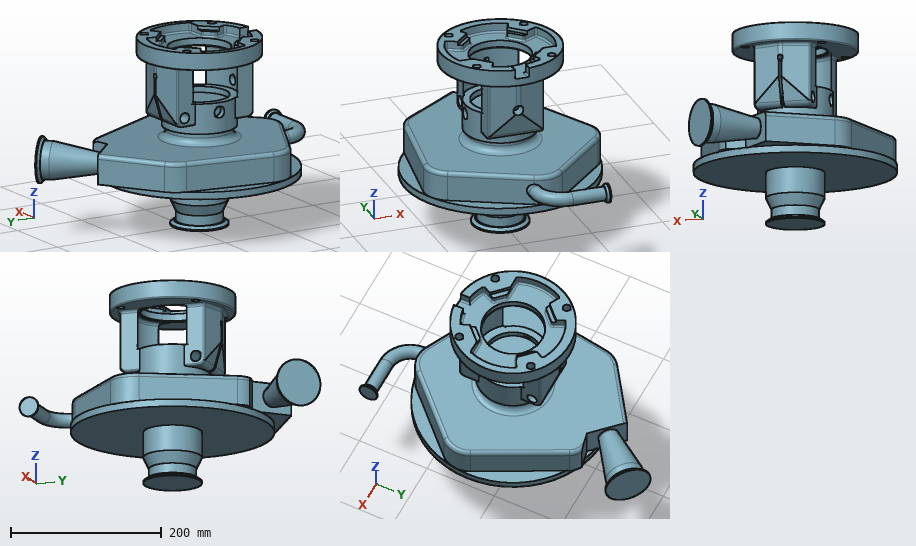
import cadquery as cq
import math


DISC_RADIUS = 270.0 / 2
DISC_HEIGHT = 10.0
CASE_TOP = 50.5
CASE_CIRCUMRADIUS = 143.5
CASE_CORNER_ANGLES = (135, 207, 279, 351)
CASE_SHOULDER = (62.5, 132.8)
CASE_CORNER_ROUND = 37.0
SHOULDER_ROUND = 26.7
CASE_TOP_ROUND = 5.8

OUTLET_CORNER = (-9.5, 165.0)
CASE_NOOK = (31.0, 125.0)
NOOK_SLOPE_ANGLE = 12.4
CASE_OVERRUN = 20.5
BLANK_SIDE_X = 40.5
TRIM_RUN = 61.5

NECK_RADIUS = 45.2
NECK_FILLET = 10.0
RING_BOTTOM = 66.5
RING_TOP = 108.0
RING_RADIUS = 50.0
RING_RECESS_RADIUS = 80.0 / 2
RING_RECESS_DEPTH = 8.2
RING_HOLE_DIAMETER = 15.5
RING_HOLE_Z = 95.0
RING_HOLE_DEPTH = RING_RADIUS - RING_RECESS_RADIUS

FLANGE_RADIUS = 83.5
FLANGE_BOTTOM = 162.8
FLANGE_TOP = 186.5
FLANGE_EDGE_ROUND = 2.0
FLANGE_BORE_RADIUS = 85.0 / 2
FLANGE_BORE_CHAMFER = 1.5
BOLT_SPACING = 106.0
BOLT_HOLE_DIAMETER = 10.5

POCKET_DEPTH = 12.7
POCKET_FLOOR = FLANGE_TOP - POCKET_DEPTH
POCKET_SIDE_RADIUS = 74.0
POCKET_END_RADIUS = 70.0
POCKET_END_WIDTH = 78.0
POCKET_CORNER_ROUND = 3.0
POCKET_FLOOR_ROUND = 2.5
REAR_LUG = [(43.5, 26.7), (77.5, 44.5), (82.0, 82.0), (42.5, 77.0), (26.0, 44.0)]
FRONT_LUG = [(40.0, -28.8), (82.0, -28.8), (82.0, -82.0), (42.5, -77.0), (26.0, -42.7)]
LUG_LEDGE_DISTANCE = 55.5
LUG_LEDGE_DEPTH = 5.0
LEDGE_REACH = 58.5
NOTCH_WIDTH = 19.7

LEG_HALF_WIDTH = 39.0
LEG_BOTTOM = 78.5
LEG_INNER_RADIUS = 52.0
LEG_RIDGE_Y = 70.3
LEG_EDGE_Y = 59.5
LEG_RIDGE_ROUND = 12.5
LEG_SLOPE_TOP = 118.8
LEG_FOOT_Y = 58.5
LEG_FOOT_ROUND = 9.0
LEG_SIDE_ROUND = 2.5
LEG_ROOT_FILLET = 4.0
LEG_OVERLAP = 4.0

ACCESS_HOLE_DIAMETER = 14.0
ACCESS_HOLE_Z = 120.5
CLAMP_HOLE_DIAMETER = 14.5
CLAMP_HOLE_Y = 47.5
CLAMP_HOLE_Z = 91.0
CLAMP_SLIT_WIDTH = 3.5
SLIT_END_DIAMETER = 7.0
SLIT_END_Z = 142.5

SUCTION_RADIUS = 39.0
SUCTION_SHOULDER_Z = -34.5
SUCTION_NECK_RADIUS = 31.5
SUCTION_NECK_Z = -50.0
SUCTION_END_Z = -69.5
SUCTION_RIM_RADIUS = 39.0

OUTLET_ANGLE = 45
OUTLET_END = (69.5, 205.5)
OUTLET_Z = 32.0
OUTLET_END_RADIUS = 26.0
OUTLET_STRAIGHT = 17.3
OUTLET_START_RADIUS = 14.0
OUTLET_CONE_END = 82.5
OUTLET_ROOT = 12.5
OUTLET_RIM_RADIUS = 63.0 / 2

DRAIN_RADIUS = 9.5
DRAIN_Z = 29.5
DRAIN_ROOT_Y = -102.8
DRAIN_BEND_START_Y = -134.5
DRAIN_BEND_RADIUS = 35.8
DRAIN_END_X = 88.8
DRAIN_RIM_RADIUS = 13.0

RIM_EDGE = 2.0
RIM_TAPER = 3.5
RIM_STEP = 0.3

ARC_RISE = 1 - math.sqrt(0.5)


def polar(radius, angle):
    return (radius * math.cos(math.radians(angle)), radius * math.sin(math.radians(angle)))


def slab(outline, bottom, top):
    return cq.Workplane("XY").workplane(offset=bottom).polyline(outline).close().extrude(top - bottom)


def cylinder(radius, bottom, top):
    return cq.Workplane("XY").workplane(offset=bottom).circle(radius).extrude(top - bottom)


def turned(profile):
    """Revolve a closed (radius, Z) profile about Z."""
    return cq.Workplane("XZ").polyline(profile).close().revolve(360, (0, 0, 0), (0, 1, 0))


def round_corner(solid, corner, radius):
    """Fillet the vertical edge standing on the plan point `corner`."""
    nearest = cq.selectors.NearestToPointSelector((*corner, CASE_TOP / 2))
    return solid.edges("|Z").edges(nearest).fillet(radius)


def make_case():
    corners = [polar(CASE_CIRCUMRADIUS, angle) for angle in CASE_CORNER_ANGLES]

    start_x, start_y = corners[0]
    slope = (OUTLET_CORNER[1] - start_y) / (OUTLET_CORNER[0] - start_x)
    tip = (OUTLET_CORNER[0] + CASE_OVERRUN, OUTLET_CORNER[1] + slope * CASE_OVERRUN)
    outline = [*corners, CASE_SHOULDER,
               (BLANK_SIDE_X, CASE_SHOULDER[1]), (BLANK_SIDE_X, tip[1]), tip]
    case = slab(outline, DISC_HEIGHT, CASE_TOP)
    for corner in corners:
        case = round_corner(case, corner, CASE_CORNER_ROUND)
    case = round_corner(case, CASE_SHOULDER, SHOULDER_ROUND)
    case = case.faces(">Z").edges().fillet(CASE_TOP_ROUND)

    nook_rise = TRIM_RUN * math.tan(math.radians(NOOK_SLOPE_ANGLE))
    trim = [
        CASE_NOOK,
        (CASE_NOOK[0] + TRIM_RUN, CASE_NOOK[1] + nook_rise),
        (CASE_NOOK[0] + TRIM_RUN, CASE_NOOK[1] + TRIM_RUN),
        (CASE_NOOK[0] - TRIM_RUN, CASE_NOOK[1] + TRIM_RUN),
    ]
    return case.cut(slab(trim, DISC_HEIGHT, CASE_TOP))


def make_ring():
    """Solid neck with a concave foot, carrying the clamping ring with its shallow recess."""
    foot_radius = NECK_RADIUS + NECK_FILLET
    arc_middle = (NECK_RADIUS + NECK_FILLET * ARC_RISE, CASE_TOP + NECK_FILLET * ARC_RISE)
    ring = (
        cq.Workplane("XZ")
        .moveTo(0, DISC_HEIGHT)
        .lineTo(foot_radius, DISC_HEIGHT)
        .lineTo(foot_radius, CASE_TOP)
        .threePointArc(arc_middle, (NECK_RADIUS, CASE_TOP + NECK_FILLET))
        .lineTo(NECK_RADIUS, RING_BOTTOM)
        .lineTo(RING_RADIUS, RING_BOTTOM)
        .lineTo(RING_RADIUS, RING_TOP)
        .lineTo(0, RING_TOP)
        .close()
        .revolve(360, (0, 0, 0), (0, 1, 0))
    )
    side_hole = (
        cq.Workplane("YZ", origin=(-RING_RADIUS, 0, RING_HOLE_Z))
        .circle(RING_HOLE_DIAMETER / 2)
        .extrude(RING_HOLE_DEPTH)
    )
    recess = cylinder(RING_RECESS_RADIUS, RING_TOP - RING_RECESS_DEPTH, RING_TOP)
    return ring.cut(recess).cut(side_hole)


def make_leg():
    """Leg on the +Y side: a ridged outer face that slopes inwards down to the foot."""
    section = [
        (-LEG_HALF_WIDTH, 0),
        (LEG_HALF_WIDTH, 0),
        (LEG_HALF_WIDTH, LEG_EDGE_Y),
        (0, LEG_RIDGE_Y),
        (-LEG_HALF_WIDTH, LEG_EDGE_Y),
    ]
    leg = slab(section, LEG_BOTTOM, FLANGE_BOTTOM + LEG_OVERLAP)
    leg = leg.edges("|Z and >Y").fillet(LEG_RIDGE_ROUND)

    clear_y = 2 * LEG_RIDGE_Y
    foot_slope = (
        cq.Workplane("YZ")
        .polyline([(LEG_FOOT_Y, LEG_BOTTOM), (LEG_RIDGE_Y, LEG_SLOPE_TOP),
                   (clear_y, LEG_SLOPE_TOP), (clear_y, LEG_BOTTOM)])
        .close()
        .extrude(LEG_HALF_WIDTH, both=True)
    )
    leg = leg.cut(foot_slope)
    leg = leg.faces("<Z").edges(">Y").fillet(LEG_FOOT_ROUND)
    outer_edges = cq.selectors.BoxSelector(
        (-clear_y, LEG_SIDE_ROUND, 0), (clear_y, clear_y, FLANGE_BOTTOM))
    leg = leg.edges(outer_edges).edges("<X or >X").fillet(LEG_SIDE_ROUND)

    ring_seat = cylinder(RING_RADIUS, LEG_BOTTOM, RING_TOP)
    inner_face = cylinder(LEG_INNER_RADIUS, RING_TOP, FLANGE_BOTTOM + LEG_OVERLAP)
    return leg.cut(ring_seat).cut(inner_face)


def make_flange_pocket():
    """Pocket volume: a stepped disc less four lugs, plus the notch out to -Y."""
    pocket = cylinder(POCKET_SIDE_RADIUS, POCKET_FLOOR, FLANGE_TOP)
    end_band = (
        cq.Workplane("XY").workplane(offset=POCKET_FLOOR)
        .rect(POCKET_END_WIDTH, 2 * POCKET_SIDE_RADIUS)
        .extrude(POCKET_DEPTH)
        .cut(cylinder(POCKET_END_RADIUS, POCKET_FLOOR, FLANGE_TOP))
    )
    pocket = pocket.cut(end_band)
    for outline in (REAR_LUG, FRONT_LUG):
        lug = slab(outline, POCKET_FLOOR, FLANGE_TOP)
        pocket = pocket.cut(lug).cut(lug.mirror("YZ"))
    pocket = pocket.edges("|Z").fillet(POCKET_CORNER_ROUND)
    notch = (
        cq.Workplane("XY", origin=(0, -FLANGE_RADIUS, POCKET_FLOOR))
        .rect(NOTCH_WIDTH, FLANGE_RADIUS)
        .extrude(POCKET_DEPTH)
    )
    return pocket.union(notch).faces("<Z").edges().fillet(POCKET_FLOOR_ROUND)


def make_lug_ledges():
    """Step at the inner end of each lug, square to its 45 degree direction."""
    square = (
        cq.Workplane("XY").workplane(offset=FLANGE_TOP - LUG_LEDGE_DEPTH)
        .transformed(rotate=(0, 0, 45))
        .rect(2 * LUG_LEDGE_DISTANCE, 2 * LUG_LEDGE_DISTANCE)
        .extrude(LUG_LEDGE_DEPTH)
    )
    return square.intersect(cylinder(LEDGE_REACH, POCKET_FLOOR, FLANGE_TOP))


def make_head():
    """Motor flange with its two legs."""
    head = cylinder(FLANGE_RADIUS, FLANGE_BOTTOM, FLANGE_TOP)
    head = head.faces("<Z").edges().fillet(FLANGE_EDGE_ROUND)
    leg = make_leg()
    head = head.union(leg).union(leg.mirror("XZ"))
    margin = 0.5
    half_box = (LEG_HALF_WIDTH + margin, LEG_RIDGE_Y + margin)
    root_edges = cq.selectors.BoxSelector(
        (-half_box[0], -half_box[1], FLANGE_BOTTOM - margin),
        (half_box[0], half_box[1], FLANGE_BOTTOM + margin))
    head = head.edges(root_edges).fillet(LEG_ROOT_FILLET)

    bore_mouth = FLANGE_BORE_RADIUS + FLANGE_BORE_CHAMFER
    bore = turned([(0, FLANGE_BOTTOM), (bore_mouth, FLANGE_BOTTOM),
                   (FLANGE_BORE_RADIUS, FLANGE_BOTTOM + FLANGE_BORE_CHAMFER),
                   (FLANGE_BORE_RADIUS, FLANGE_TOP), (0, FLANGE_TOP)])
    bolt_holes = (
        cq.Workplane("XY").workplane(offset=FLANGE_BOTTOM)
        .rect(BOLT_SPACING, BOLT_SPACING, forConstruction=True).vertices()
        .circle(BOLT_HOLE_DIAMETER / 2)
        .extrude(FLANGE_TOP - FLANGE_BOTTOM)
    )
    head = head.cut(bore).cut(bolt_holes).cut(make_flange_pocket()).cut(make_lug_ledges())

    access_hole = (
        cq.Workplane("XZ", origin=(0, 0, ACCESS_HOLE_Z))
        .circle(ACCESS_HOLE_DIAMETER / 2)
        .extrude(LEG_RIDGE_Y)
    )
    clamp_slit = (
        cq.Workplane("XY", origin=(0, 0, LEG_BOTTOM))
        .box(CLAMP_SLIT_WIDTH, LEG_RIDGE_Y, SLIT_END_Z - LEG_BOTTOM, centered=(True, False, False))
    )
    slit_end = (
        cq.Workplane("XZ", origin=(0, 0, SLIT_END_Z))
        .circle(SLIT_END_DIAMETER / 2)
        .extrude(-LEG_RIDGE_Y)
    )
    return head.cut(access_hole).cut(clamp_slit).cut(slit_end)


def make_clamp_hole():
    """Cross hole through the +Y leg that also notches the ring beside it."""
    return (
        cq.Workplane("YZ", origin=(0, CLAMP_HOLE_Y, CLAMP_HOLE_Z))
        .circle(CLAMP_HOLE_DIAMETER / 2)
        .extrude(LEG_HALF_WIDTH, both=True)
    )


def make_rim(radius, pipe_radius):
    """Pipe-end rim standing on Z = 0, with its back tapering towards +Z."""
    back_radius = pipe_radius + RIM_STEP * (radius - pipe_radius)
    back = RIM_EDGE + RIM_TAPER
    return turned([(0, 0), (radius, 0), (radius, RIM_EDGE), (back_radius, back), (0, back)])


def make_suction_pipe():
    pipe = turned([
        (0, 0),
        (SUCTION_RADIUS, 0),
        (SUCTION_RADIUS, SUCTION_SHOULDER_Z),
        (SUCTION_NECK_RADIUS, SUCTION_NECK_Z),
        (SUCTION_NECK_RADIUS, SUCTION_END_Z),
        (0, SUCTION_END_Z),
    ])
    rim = make_rim(SUCTION_RIM_RADIUS, SUCTION_NECK_RADIUS)
    return pipe.union(rim.translate((0, 0, SUCTION_END_Z)))


def make_outlet():
    """Cone built upwards from its open end, then laid down to point along the outlet."""
    root_end = OUTLET_CONE_END + OUTLET_ROOT
    cone = turned([
        (0, 0),
        (OUTLET_END_RADIUS, 0),
        (OUTLET_END_RADIUS, OUTLET_STRAIGHT),
        (OUTLET_START_RADIUS, OUTLET_CONE_END),
        (OUTLET_START_RADIUS, root_end),
        (0, root_end),
    ])
    cone = cone.union(make_rim(OUTLET_RIM_RADIUS, OUTLET_END_RADIUS))
    cone = cone.rotate((0, 0, 0), (0, 1, 0), -90).rotate((0, 0, 0), (0, 0, 1), OUTLET_ANGLE)
    return cone.translate((*OUTLET_END, OUTLET_Z))


def make_drain():
    end_y = DRAIN_BEND_START_Y - DRAIN_BEND_RADIUS
    rise = DRAIN_BEND_RADIUS * ARC_RISE
    path = (
        cq.Workplane("XY", origin=(0, 0, DRAIN_Z))
        .moveTo(0, DRAIN_ROOT_Y)
        .lineTo(0, DRAIN_BEND_START_Y)
        .threePointArc((rise, end_y + rise), (DRAIN_BEND_RADIUS, end_y))
        .lineTo(DRAIN_END_X, end_y)
    )
    pipe = cq.Workplane("XZ", origin=(0, DRAIN_ROOT_Y, DRAIN_Z)).circle(DRAIN_RADIUS).sweep(path)
    rim = make_rim(DRAIN_RIM_RADIUS, DRAIN_RADIUS).rotate((0, 0, 0), (0, 1, 0), -90)
    return pipe.union(rim.translate((DRAIN_END_X, end_y, DRAIN_Z)))


result = (
    cylinder(DISC_RADIUS, 0, DISC_HEIGHT)
    .union(make_case())
    .union(make_ring())
    .union(make_head())
    .cut(make_clamp_hole())
    .union(make_suction_pipe())
    .union(make_outlet())
    .union(make_drain())
)